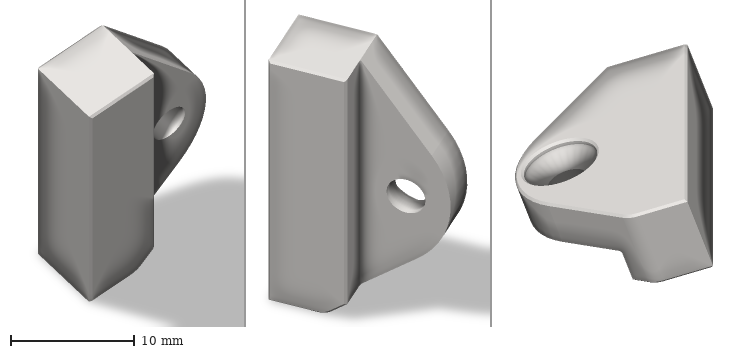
import cadquery as cq
import math

height = 24.8
depth = 14.8
width = 6.8
plate_thickness = 3.8
block_depth = 6.9
edge_chamfer = 0.2
step_fillet = 0.2

nose_center_y = block_depth
nose_center_z = 11.88
nose_radius = depth - nose_center_y
bottom_corner_y = 4.98
bottom_corner_radius = 1.98

hole_y = 10.89
hole_z = nose_center_z
hole_diameter = 3.4
sink_diameter = 6.3
sink_wall = 0.3
sink_depth = (sink_diameter - hole_diameter) / 2


def nose_tangent(corner_y, corner_z):
    """Point where the line from a corner touches the +Y side of the nose circle."""
    dy = corner_y - nose_center_y
    dz = corner_z - nose_center_z
    half_angle = math.acos(nose_radius / math.hypot(dy, dz))
    turn = -math.copysign(half_angle, dz)
    angle = math.atan2(dz, dy) + turn
    return (
        nose_center_y + nose_radius * math.cos(angle),
        nose_center_z + nose_radius * math.sin(angle),
    )


def side_outline(thickness):
    """Rounded wedge outline in the YZ plane, extruded along +X."""
    return (
        cq.Workplane("YZ")
        .moveTo(0, 0)
        .lineTo(bottom_corner_y, 0)
        .lineTo(*nose_tangent(bottom_corner_y, 0))
        .threePointArc((depth, nose_center_z), nose_tangent(block_depth, height))
        .lineTo(block_depth, height)
        .lineTo(0, height)
        .close()
        .extrude(thickness)
        .edges(cq.selectors.NearestToPointSelector((thickness / 2, bottom_corner_y, 0)))
        .fillet(bottom_corner_radius)
    )


plate = side_outline(plate_thickness).faces("<X").chamfer(edge_chamfer)

block_limits = cq.Workplane("XY").box(
    width - edge_chamfer, block_depth, height, centered=False
).translate((edge_chamfer, 0, 0))
block = side_outline(width).intersect(block_limits).faces(">X").chamfer(edge_chamfer)

fillet_middle = step_fillet * (1 - math.sqrt(0.5))
fillet_strip = (
    cq.Workplane("XY", origin=(plate_thickness, block_depth, 0))
    .lineTo(step_fillet, 0)
    .threePointArc((fillet_middle, fillet_middle), (0, step_fillet))
    .close()
    .extrude(height)
    .intersect(side_outline(width))
)

sink_radius = sink_diameter / 2
hole_radius = hole_diameter / 2
rim_bottom = edge_chamfer
wall_bottom = rim_bottom + sink_wall
cone_bottom = wall_bottom + sink_depth
screw_hole = (
    cq.Workplane("XY")
    .polyline([
        (0, 0),
        (0, sink_radius + edge_chamfer),
        (rim_bottom, sink_radius),
        (wall_bottom, sink_radius),
        (cone_bottom, hole_radius),
        (plate_thickness, hole_radius),
        (plate_thickness, 0),
    ])
    .close()
    .revolve(360, (0, 0, 0), (1, 0, 0))
    .translate((0, hole_y, hole_z))
)

result = plate.union(block).union(fillet_strip).cut(screw_hole)